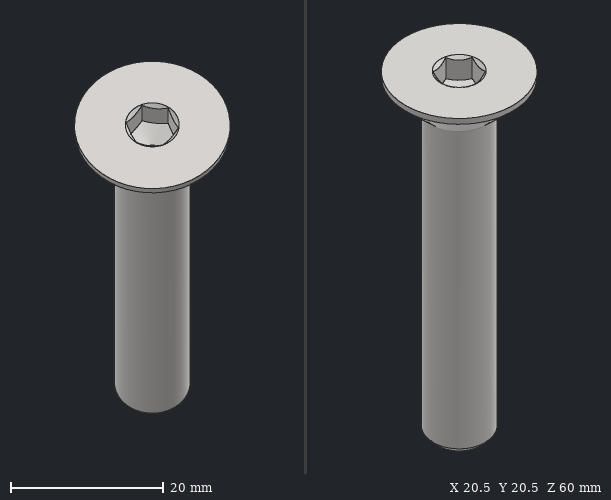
import cadquery as cq
import math

length = 60.0
head_diameter = 20.5
rim_height = 0.95
shank_diameter = 10.0
neck_fillet = 0.3

tip_inset = 0.9
tip_height = 1.1

socket_flats = 6.0
socket_depth = 3.6
mouth_diameter = 7.1
mouth_angle = 45.0
floor_flat_diameter = 1.0
floor_angle = 30.0

head_radius = head_diameter / 2
shank_radius = shank_diameter / 2
rim_bottom = length - rim_height
neck_height = rim_bottom - (head_radius - shank_radius)


def screw_body():
    """Revolve the head, shank and chamfered tip."""
    profile = (
        cq.Workplane("XZ")
        .moveTo(0, 0)
        .lineTo(shank_radius - tip_inset, 0)
        .lineTo(shank_radius, tip_height)
        .lineTo(shank_radius, neck_height)
        .lineTo(head_radius, rim_bottom)
        .lineTo(head_radius, length)
        .lineTo(0, length)
        .close()
    )
    body = profile.revolve(360, (0, 0, 0), (0, 1, 0))
    neck_edge = cq.selectors.BoxSelector(
        (-head_radius, -head_radius, neck_height - neck_fillet),
        (head_radius, head_radius, neck_height + neck_fillet),
    )
    return body.edges("%CIRCLE").edges(neck_edge).fillet(neck_fillet)


def cone_drop(top_diameter, slope):
    """Height a cone needs to narrow from the given diameter to the flat at the floor centre."""
    return (top_diameter - floor_flat_diameter) / 2 * math.tan(math.radians(slope))


def downward_cone(top_diameter, top_height, slope):
    """Cone narrowing downward to the floor flat, its wall at the given angle to the horizontal."""
    return cq.Workplane("XY").add(
        cq.Solid.makeCone(
            top_diameter / 2,
            floor_flat_diameter / 2,
            cone_drop(top_diameter, slope),
            cq.Vector(0, 0, top_height),
            cq.Vector(0, 0, -1),
        )
    )


def hex_socket():
    """Hexagon with corners along X, with a conical mouth and a floor cone meeting its corners."""
    corner_diameter = socket_flats / math.cos(math.radians(30))
    wall_bottom = length - socket_depth
    full_depth = socket_depth + cone_drop(corner_diameter, floor_angle)
    top_plane = cq.Workplane("XY", origin=(0, 0, length))
    hexagon = top_plane.polygon(6, corner_diameter).extrude(-full_depth)
    floor_envelope = (
        top_plane.circle(corner_diameter / 2)
        .extrude(-socket_depth)
        .union(downward_cone(corner_diameter, wall_bottom, floor_angle))
    )
    mouth = downward_cone(mouth_diameter, length, mouth_angle)
    return hexagon.intersect(floor_envelope).union(mouth)


result = screw_body().cut(hex_socket())